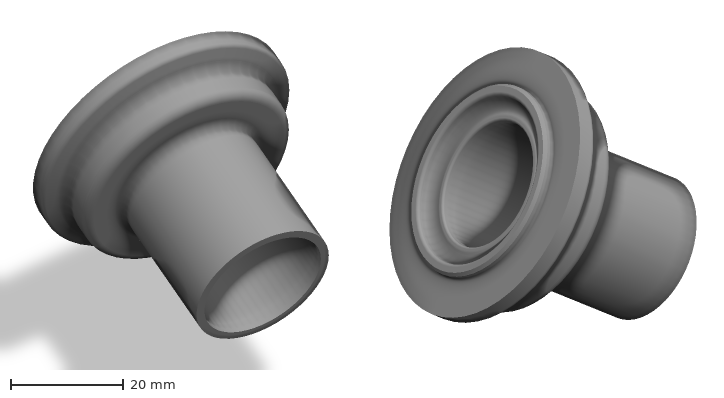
import cadquery as cq
import math

total_length = 40.5
bore_radius = 23.7 / 2
tube_radius = 26.9 / 2
lip_radius = 36.0 / 2
hub_radius = 42.0 / 2
flange_radius = 50.5 / 2

flange_face_x = 1.8
lip_chamfer = 0.55
lip_root_fillet = 0.4

rim_end_x = 4.65
rim_fillet = 0.85
slope_fillet = 2.1
slope_angle = math.radians(70)

hub_end_x = 13.55
shoulder_fillet = 1.65
tube_fillet = 1.5

groove_outer_radius = 15.75
groove_inner_radius = 13.05
groove_mouth_fillet = 0.6
groove_round = 2.0
ridge_crest_radius = 12.6
ridge_bore_fillet = 0.43

groove_center_radius = groove_outer_radius - groove_round
ridge_angle = math.asin((groove_center_radius - groove_inner_radius) / groove_round)
ridge_round = (groove_inner_radius - ridge_crest_radius) / math.sin(ridge_angle)
ridge_round_x = groove_mouth_fillet + (groove_round + ridge_round) * math.cos(ridge_angle)
ridge_x = ridge_round_x - ridge_round

slope_drop = (
    flange_radius - hub_radius - (rim_fillet + slope_fillet) * (1 - math.cos(slope_angle))
)
slope_length_x = slope_drop / math.tan(slope_angle)
rim_round_end_x = rim_end_x + rim_fillet * math.sin(slope_angle)
slope_end_x = rim_round_end_x + slope_length_x
hub_start_x = slope_end_x + slope_fillet * math.sin(slope_angle)


def arc_point(center_x, center_radius, arc_radius, degrees):
    """Point on an arc; the angle turns from +X toward the outer radius."""
    angle = math.radians(degrees)
    return (
        center_x + arc_radius * math.cos(angle),
        center_radius + arc_radius * math.sin(angle),
    )


def continue_arc(outline, center_x, center_radius, arc_radius, start, end):
    """Follow an arc that starts where the outline now ends."""
    arc = (center_x, center_radius, arc_radius)
    return outline.threePointArc(arc_point(*arc, (start + end) / 2), arc_point(*arc, end))


def add_arc(outline, center_x, center_radius, arc_radius, start, end):
    """Draw a straight line to the arc's start, then follow the arc."""
    arc_start = arc_point(center_x, center_radius, arc_radius, start)
    return continue_arc(
        outline.lineTo(*arc_start), center_x, center_radius, arc_radius, start, end
    )


def add_outside(outline):
    """Outer side, from the lip face to the free end of the tube."""
    slope_normal = 90 - math.degrees(slope_angle)
    outline = outline.lineTo(0, lip_radius - lip_chamfer).lineTo(lip_chamfer, lip_radius)
    outline = add_arc(
        outline, flange_face_x - lip_root_fillet, lip_radius + lip_root_fillet,
        lip_root_fillet, -90, 0,
    )
    outline = outline.lineTo(flange_face_x, flange_radius)
    outline = add_arc(
        outline, rim_end_x, flange_radius - rim_fillet, rim_fillet, 90, slope_normal
    )
    outline = add_arc(
        outline, hub_start_x, hub_radius + slope_fillet, slope_fillet, 180 + slope_normal, 270
    )
    outline = add_arc(
        outline, hub_end_x - shoulder_fillet, hub_radius - shoulder_fillet, shoulder_fillet, 90, 0
    )
    outline = add_arc(
        outline, hub_end_x + tube_fillet, tube_radius + tube_fillet, tube_fillet, 180, 270
    )
    return outline.lineTo(total_length, tube_radius)


def add_inside(outline):
    """Inner side, from the bore back through the ridge and groove to the lip."""
    crest_angle = math.degrees(ridge_angle)
    outline = outline.lineTo(total_length, bore_radius)
    outline = add_arc(
        outline, ridge_x + ridge_bore_fillet, bore_radius + ridge_bore_fillet,
        ridge_bore_fillet, 270, 180,
    )
    outline = add_arc(
        outline, ridge_round_x, ridge_crest_radius, ridge_round, 180, 180 - crest_angle
    )
    outline = continue_arc(
        outline, groove_mouth_fillet, groove_center_radius, groove_round, -crest_angle, 90
    )
    return continue_arc(
        outline, groove_mouth_fillet, groove_outer_radius + groove_mouth_fillet,
        groove_mouth_fillet, 270, 180,
    )


profile = cq.Workplane("XY").moveTo(0, groove_outer_radius + groove_mouth_fillet)
profile = add_inside(add_outside(profile)).close()
result = profile.revolve(360, (0, 0, 0), (1, 0, 0))